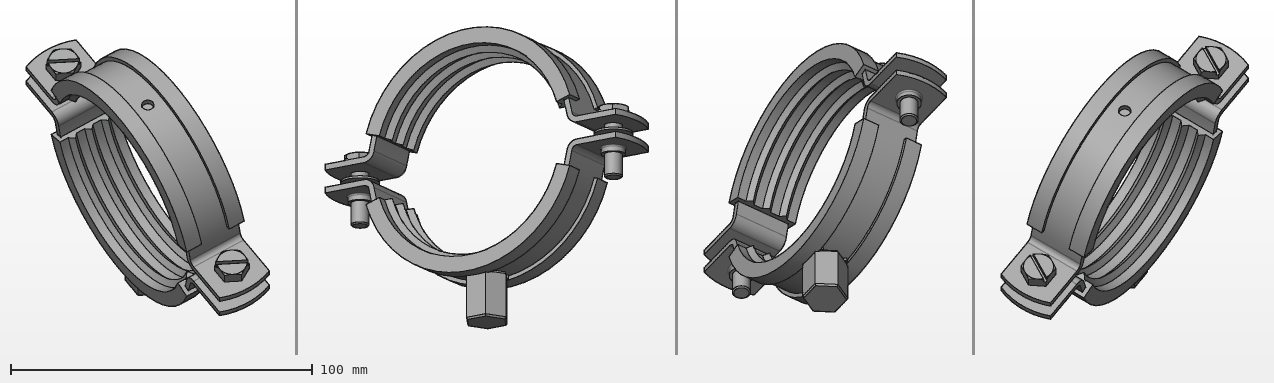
import cadquery as cq
import math


BAND_OUTER_R = 40.6
SHEET = 2.0
BAND_INNER_R = BAND_OUTER_R - SHEET
BAND_WIDTH = 19.9
EAR_INNER_Z = 3.0
EAR_OUTER_Z = EAR_INNER_Z + SHEET
BEND_R = 2.0
EAR_TIP_X = 59.3
EAR_CORNER_X = 57.3
CROWN_HOLE_D = 4.0

COLLAR_D = 8.1
COLLAR_BOTTOM_Z = -7.1
COLLAR_FILLET = 0.5

LINER_WIDTH = 23.0
LINER_OUTER_R = 42.0
LINER_INNER_R = 36.5
LINER_OPENING = 11.0
LINER_END_ANGLE = 17.0
RIB_COUNT = 3
RIB_TIP_R = 34.5
STRIP = LINER_WIDTH / (2 * RIB_COUNT + 1)

SCREW_X = 50.0
SCREW_D = 6.0
SCREW_BOTTOM_Z = -15.1
SCREW_TIP_CHAMFER = 0.5
HEAD_FLATS = 10.0
HEAD_HEIGHT = 4.0
HEAD_TOP_Z = EAR_OUTER_Z + HEAD_HEIGHT
HEAD_CHAMFER_ANGLE = 30.0
SLOT_WIDTH = 1.2
SLOT_DEPTH = 1.5
SLOT_ANGLE = 60.0
WASHER_D = 12.9
WASHER_THICKNESS = 0.7

BOSS_FLATS = 13.0
BOSS_TOP_Z = -BAND_OUTER_R
BOSS_BOTTOM_Z = -57.0
BOSS_CHAMFER_HEIGHT = 0.7
BOSS_CHAMFER_INSET = 0.4
WELD_D = 1.4
WELD_X = 4.7
WELD_Y = 4.7
WELD_BOTTOM_Z = -41.4

SCREW_PLACES = [-SCREW_X, SCREW_X]


def cylinder(diameter, z_low, z_high, x=0.0, y=0.0):
    """Upright cylinder between two heights."""
    disc = cq.Workplane("XY", origin=(x, y, z_low)).circle(diameter / 2)
    return disc.extrude(z_high - z_low)


def hexagon(flats, z_low, z_high):
    """Upright hexagonal prism with two corners on the X axis."""
    corners = flats / math.cos(math.radians(30))
    return cq.Workplane("XY").workplane(offset=z_low).polygon(6, corners).extrude(z_high - z_low)


def make_band_half():
    """Upper half of the steel band: arch, bends and bowed ears, with screw holes."""
    bend_z = EAR_OUTER_Z + BEND_R
    bend_x = math.sqrt((BAND_OUTER_R + BEND_R) ** 2 - bend_z ** 2)
    tangent_angle = math.atan2(bend_z, bend_x)
    bend_mid_angle = (math.pi / 2 - tangent_angle) / 2 + tangent_angle

    def on_arch(radius, side):
        return (side * radius * math.cos(tangent_angle), radius * math.sin(tangent_angle))

    def on_bend(radius, side):
        return (side * (bend_x - radius * math.cos(bend_mid_angle)),
                bend_z - radius * math.sin(bend_mid_angle))

    outer_bend_r = BEND_R + SHEET
    strip = (
        cq.Workplane("XZ")
        .moveTo(-EAR_TIP_X, EAR_INNER_Z)
        .lineTo(-bend_x, EAR_INNER_Z)
        .threePointArc(on_bend(outer_bend_r, -1), on_arch(BAND_INNER_R, -1))
        .threePointArc((0, BAND_INNER_R), on_arch(BAND_INNER_R, 1))
        .threePointArc(on_bend(outer_bend_r, 1), (bend_x, EAR_INNER_Z))
        .lineTo(EAR_TIP_X, EAR_INNER_Z)
        .lineTo(EAR_TIP_X, EAR_OUTER_Z)
        .lineTo(bend_x, EAR_OUTER_Z)
        .threePointArc(on_bend(BEND_R, 1), on_arch(BAND_OUTER_R, 1))
        .threePointArc((0, BAND_OUTER_R), on_arch(BAND_OUTER_R, -1))
        .threePointArc(on_bend(BEND_R, -1), (-bend_x, EAR_OUTER_Z))
        .lineTo(-EAR_TIP_X, EAR_OUTER_Z)
        .close()
        .extrude(BAND_WIDTH / 2, both=True)
    )

    half_width = BAND_WIDTH / 2
    plan = (
        cq.Workplane("XY")
        .moveTo(-EAR_CORNER_X, -half_width)
        .lineTo(EAR_CORNER_X, -half_width)
        .threePointArc((EAR_TIP_X, 0), (EAR_CORNER_X, half_width))
        .lineTo(-EAR_CORNER_X, half_width)
        .threePointArc((-EAR_TIP_X, 0), (-EAR_CORNER_X, -half_width))
        .close()
        .extrude(BAND_OUTER_R)
    )
    band = strip.intersect(plan)
    for x in SCREW_PLACES:
        band = band.cut(cylinder(SCREW_D, EAR_INNER_Z, EAR_OUTER_Z, x))
    return band


def make_upper_band():
    return make_band_half().cut(cylinder(CROWN_HOLE_D, BAND_INNER_R - SHEET, BAND_OUTER_R))


def make_collar():
    """Ring under a lower ear, flaring into the sheet with a fillet."""
    collar_r = COLLAR_D / 2
    arc_inset = COLLAR_FILLET * (1 - math.sqrt(0.5))
    return (
        cq.Workplane("XZ")
        .moveTo(SCREW_D / 2, COLLAR_BOTTOM_Z)
        .lineTo(collar_r, COLLAR_BOTTOM_Z)
        .lineTo(collar_r, -EAR_OUTER_Z - COLLAR_FILLET)
        .threePointArc((collar_r + arc_inset, -EAR_OUTER_Z - arc_inset),
                       (collar_r + COLLAR_FILLET, -EAR_OUTER_Z))
        .lineTo(SCREW_D / 2, -EAR_OUTER_Z)
        .close()
        .revolve(360, (0, 0), (0, 1))
    )


def make_lower_band():
    band = make_band_half().mirror("XY")
    for x in SCREW_PLACES:
        band = band.union(make_collar().translate((x, 0, 0)))
    return band


def make_liner():
    """Lower rubber liner: a channel that wraps the band edges, ribbed on the pipe side."""
    half_width = LINER_WIDTH / 2
    half_band = BAND_WIDTH / 2
    half_opening = LINER_OPENING / 2
    profile = cq.Workplane("XY").moveTo(LINER_INNER_R, -half_width)
    for rib in range(RIB_COUNT):
        rib_start = -half_width + STRIP * (2 * rib + 1)
        profile = (
            profile.lineTo(LINER_INNER_R, rib_start)
            .lineTo(RIB_TIP_R, rib_start + STRIP / 2)
            .lineTo(LINER_INNER_R, rib_start + STRIP)
        )
    profile = (
        profile.lineTo(LINER_INNER_R, half_width)
        .lineTo(LINER_OUTER_R, half_width)
        .lineTo(LINER_OUTER_R, half_opening)
        .lineTo(BAND_OUTER_R, half_opening)
        .lineTo(BAND_OUTER_R, half_band)
        .lineTo(BAND_INNER_R, half_band)
        .lineTo(BAND_INNER_R, -half_band)
        .lineTo(BAND_OUTER_R, -half_band)
        .lineTo(BAND_OUTER_R, -half_opening)
        .lineTo(LINER_OUTER_R, -half_opening)
        .lineTo(LINER_OUTER_R, -half_width)
        .close()
    )
    arc = profile.revolve(180 - 2 * LINER_END_ANGLE, (0, 0), (0, 1))
    return arc.rotate((0, 0, 0), (0, 1, 0), LINER_END_ANGLE)


def make_screw(x):
    """Slotted hex-head screw standing in its ears."""
    shank = cylinder(SCREW_D, SCREW_BOTTOM_Z, EAR_OUTER_Z).faces("<Z").chamfer(SCREW_TIP_CHAMFER)
    cone_spread = HEAD_HEIGHT / math.tan(math.radians(HEAD_CHAMFER_ANGLE))
    bevel_cone = cq.Workplane(cq.Solid.makeCone(
        HEAD_FLATS / 2 + cone_spread, HEAD_FLATS / 2, HEAD_HEIGHT, cq.Vector(0, 0, EAR_OUTER_Z)))
    head = hexagon(HEAD_FLATS, EAR_OUTER_Z, HEAD_TOP_Z).intersect(bevel_cone)
    slot = (
        cq.Workplane("XY")
        .box(2 * HEAD_FLATS, SLOT_WIDTH, SLOT_DEPTH)
        .rotate((0, 0, 0), (0, 0, 1), SLOT_ANGLE)
        .translate((0, 0, HEAD_TOP_Z - SLOT_DEPTH / 2))
    )
    return shank.union(head).cut(slot).translate((x, 0, 0))


def make_washer(x):
    """Thin retaining washer on the screw, midway between the ears."""
    half = WASHER_THICKNESS / 2
    return cylinder(WASHER_D, -half, half, x).cut(cylinder(SCREW_D, -half, half, x))


def make_boss():
    """Hexagonal boss with bevelled ends and four weld nubs reaching up to the band."""
    boss = (
        hexagon(BOSS_FLATS, BOSS_BOTTOM_Z, BOSS_TOP_Z)
        .faces("<Z or >Z")
        .chamfer(BOSS_CHAMFER_HEIGHT, BOSS_CHAMFER_INSET)
    )
    for x in (-WELD_X, WELD_X):
        for y in (-WELD_Y, WELD_Y):
            boss = boss.union(cylinder(WELD_D, WELD_BOTTOM_Z, -BAND_INNER_R, x, y))
    band_bore = cq.Workplane("XZ").circle(BAND_OUTER_R).extrude(BAND_WIDTH, both=True)
    return boss.cut(band_bore)


upper_band = make_upper_band()
lower_band = make_lower_band()
boss = make_boss()
upper_liner = make_liner().rotate((0, 0, 0), (0, 1, 0), 180)
lower_liner = make_liner().cut(hexagon(BOSS_FLATS, BOSS_BOTTOM_Z, BOSS_TOP_Z))
screws = [make_screw(x) for x in SCREW_PLACES]
washers = [make_washer(x) for x in SCREW_PLACES]

result = cq.Compound.makeCompound([
    upper_band.val(),
    lower_band.val(),
    upper_liner.val(),
    lower_liner.val(),
    *[screw.val() for screw in screws],
    *[washer.val() for washer in washers],
    boss.val(),
])